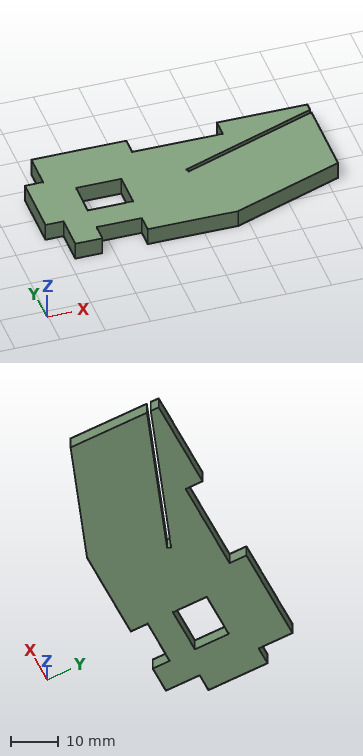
import cadquery as cq
import math

length = 65.0
width = 30.0
thickness = 4.0

joint_depth = thickness

tab_width = 14.0

upper_notch_start = 25.0
upper_notch_length = 20.0

lower_notch_start = 10.0
lower_notch_length = 10.0
window_bottom = 10.0
window_height = 8.0

slope_angle = 20.0
slope_start = 40.0
slope_rise = (length - slope_start) * math.tan(math.radians(slope_angle))
slot_width = 0.85
slot_offset = 17.0
slot_start = 0.1
slot_cut_length = length


def block(x_start, y_start, x_size, y_size):
    """Full-thickness block with its lower corner at (x_start, y_start)."""
    corner_block = cq.Workplane("XY").box(x_size, y_size, thickness, centered=False)
    return corner_block.translate((x_start, y_start, 0))


def make_plate():
    """Plate with the end tab and the sloped lower corner."""
    outline = [
        (joint_depth, 0),
        (slope_start, 0),
        (length, slope_rise),
        (length, width),
        (joint_depth, width),
    ]
    body = cq.Workplane("XY").polyline(outline).close().extrude(thickness)
    tab = block(0, (width - tab_width) / 2, 2 * joint_depth, tab_width)
    return body.union(tab)


def make_slot():
    """Narrow cutter parallel to the slope, running out past the +X end."""
    cutter = block(slot_start, slot_offset, slot_cut_length, slot_width)
    return cutter.rotate((0, 0, 0), (0, 0, 1), slope_angle).translate((slope_start, 0, 0))


upper_notch = block(upper_notch_start, width - joint_depth, upper_notch_length, joint_depth)
lower_notch = block(lower_notch_start, 0, lower_notch_length, joint_depth)
window = block(lower_notch_start, window_bottom, lower_notch_length, window_height)

result = make_plate().cut(upper_notch).cut(lower_notch).cut(window).cut(make_slot())